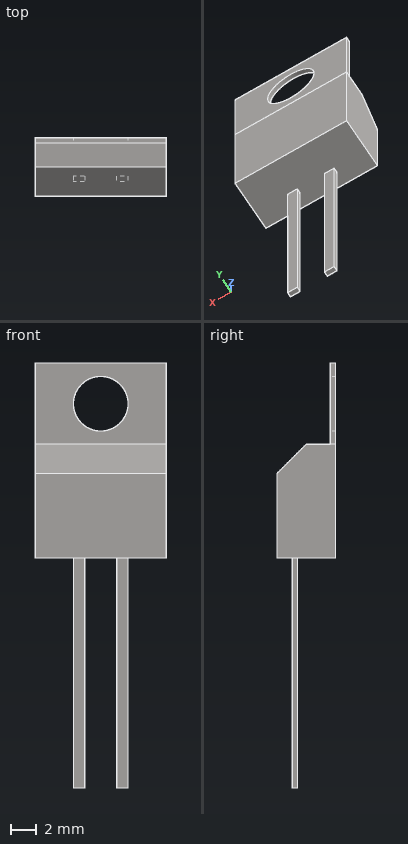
import cadquery as cq

package_width = 10.22
case_depth = 4.55
case_height = 8.85
total_height = 33.07

slope_depth = 2.28
slope_height = 2.28

tab_height = 6.3
tab_thickness = 0.43
hole_diameter = 4.23
hole_above_case = 3.15

lead_length = total_height - case_height - tab_height
lead_width = 0.9
lead_thickness = 0.43
lead_spacing = 3.37
lead_center_y = -3.17


def make_case():
    """Block with a sloped front top edge, extruded along X."""
    return (
        cq.Workplane("YZ")
        .moveTo(0, 0)
        .lineTo(-case_depth, 0)
        .lineTo(-case_depth, case_height - slope_height)
        .lineTo(-case_depth + slope_depth, case_height)
        .lineTo(0, case_height)
        .close()
        .extrude(package_width / 2, both=True)
    )


def make_tab():
    """Thin plate standing on the back of the case, with a mounting hole."""
    plate = cq.Workplane("XY").box(
        package_width, tab_thickness, tab_height, centered=(True, False, False)
    ).translate((0, -tab_thickness, case_height))
    hole = (
        cq.Workplane("XZ")
        .center(0, case_height + hole_above_case)
        .circle(hole_diameter / 2)
        .extrude(tab_thickness)
    )
    return plate.cut(hole)


def make_lead(center_x):
    """Straight rectangular lead hanging from the underside of the case."""
    return cq.Workplane("XY").box(
        lead_width, lead_thickness, lead_length, centered=(True, True, False)
    ).translate((center_x, lead_center_y, -lead_length))


case = make_case()
tab = make_tab()
leads = [make_lead(side * lead_spacing / 2) for side in (-1, 1)]

result = cq.Compound.makeCompound([case.val(), tab.val(), *[lead.val() for lead in leads]])